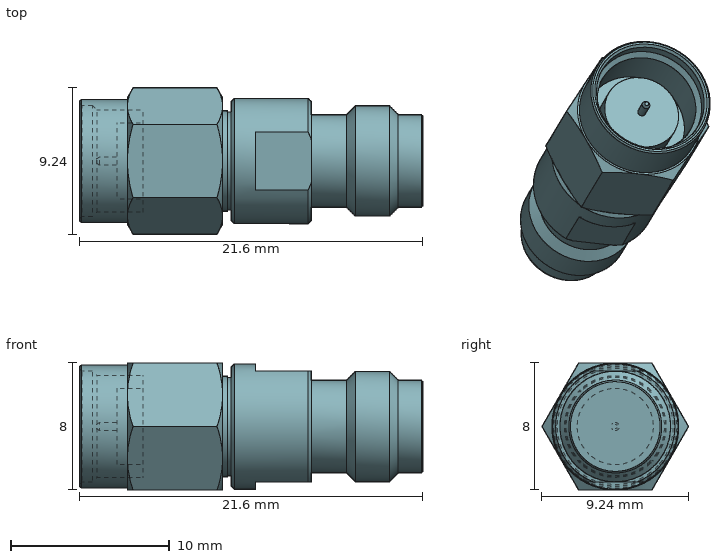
import cadquery as cq
import math

nut_start = 3.0
nut_end = 9.0
neck_end = 9.3
body_start = 9.53
flat_start = 11.08
body_end = 14.58
collar_start = 16.8
collar_end = 20.05
total_length = 21.6

sleeve_radius = 3.88
neck_radius = 3.17
groove_radius = 3.1
body_radius = 3.95
jack_radius = 2.925
collar_radius = 3.48

sleeve_chamfer = 0.1
body_chamfer = 0.2
jack_chamfer = 0.1

nut_across_flats = 8.0
nut_chamfer_angle = 30.0
wrench_across_flats = 7.0

mouth_radius = 3.5
mouth_chamfer = 0.15
mouth_depth = 0.8
bore_radius = 3.2
bore_depth = 4.0
boss_radius = 2.4
boss_start = 2.35
shoulder_length = mouth_radius - bore_radius
pin_radius = 0.25
pin_tip_radius = 0.13
pin_tip_length = 0.2
pin_start = 1.05


def revolve_about_x(outline):
    """Revolve a closed outline of (x, radius) points about the X axis."""
    return cq.Workplane("XY").polyline(outline).close().revolve(360, (0, 0, 0), (1, 0, 0))


def make_turned_body():
    """Sleeve, neck, groove, main body, jack barrel and its tapered collar."""
    collar_rise = collar_radius - jack_radius
    return revolve_about_x([
        (0, 0),
        (0, sleeve_radius - sleeve_chamfer),
        (sleeve_chamfer, sleeve_radius),
        (nut_end, sleeve_radius),
        (nut_end, neck_radius),
        (neck_end, neck_radius),
        (neck_end, groove_radius),
        (body_start, groove_radius),
        (body_start, body_radius - body_chamfer),
        (body_start + body_chamfer, body_radius),
        (body_end - body_chamfer, body_radius),
        (body_end, body_radius - body_chamfer),
        (body_end, jack_radius),
        (collar_start, jack_radius),
        (collar_start + collar_rise, collar_radius),
        (collar_end - collar_rise, collar_radius),
        (collar_end, jack_radius),
        (total_length - jack_chamfer, jack_radius),
        (total_length, jack_radius - jack_chamfer),
        (total_length, 0),
    ])


def make_nut():
    """Hexagon with flats at +Z and -Z, its corners cut by a cone at both ends."""
    corner_radius = nut_across_flats / 2 / math.cos(math.pi / 6)
    face_radius = nut_across_flats / 2
    setback = (corner_radius - face_radius) * math.tan(math.radians(nut_chamfer_angle))
    hexagon = (
        cq.Workplane("YZ", origin=(nut_start, 0, 0))
        .polygon(6, 2 * corner_radius)
        .extrude(nut_end - nut_start)
    )
    corner_limit = revolve_about_x([
        (nut_start, 0),
        (nut_start, face_radius),
        (nut_start + setback, corner_radius),
        (nut_end - setback, corner_radius),
        (nut_end, face_radius),
        (nut_end, 0),
    ])
    return hexagon.intersect(corner_limit)


def cut_wrench_flats(solid):
    """Cut the two flats at +Z and -Z, from flat_start to the end of the main body."""
    flat_length = body_end - flat_start
    cutter_height = body_radius
    for side in (1, -1):
        cutter = cq.Workplane("XY").box(flat_length, 2 * body_radius, cutter_height).translate((
            flat_start + flat_length / 2,
            0,
            side * (wrench_across_flats + cutter_height) / 2,
        ))
        solid = solid.cut(cutter)
    return solid


def make_cavity():
    """Hollow of the plug end, leaving a flat-faced boss standing on its floor."""
    return revolve_about_x([
        (0, 0),
        (0, mouth_radius + mouth_chamfer),
        (mouth_chamfer, mouth_radius),
        (mouth_depth, mouth_radius),
        (mouth_depth + shoulder_length, bore_radius),
        (bore_depth, bore_radius),
        (bore_depth, boss_radius),
        (boss_start, boss_radius),
        (boss_start, 0),
    ])


def make_pin():
    """Centre pin with a tapered tip, rooted in the boss."""
    return revolve_about_x([
        (pin_start, 0),
        (pin_start, pin_tip_radius),
        (pin_start + pin_tip_length, pin_radius),
        (bore_depth, pin_radius),
        (bore_depth, 0),
    ])


adapter = make_turned_body().union(make_nut())
adapter = cut_wrench_flats(adapter)
result = adapter.cut(make_cavity()).union(make_pin())